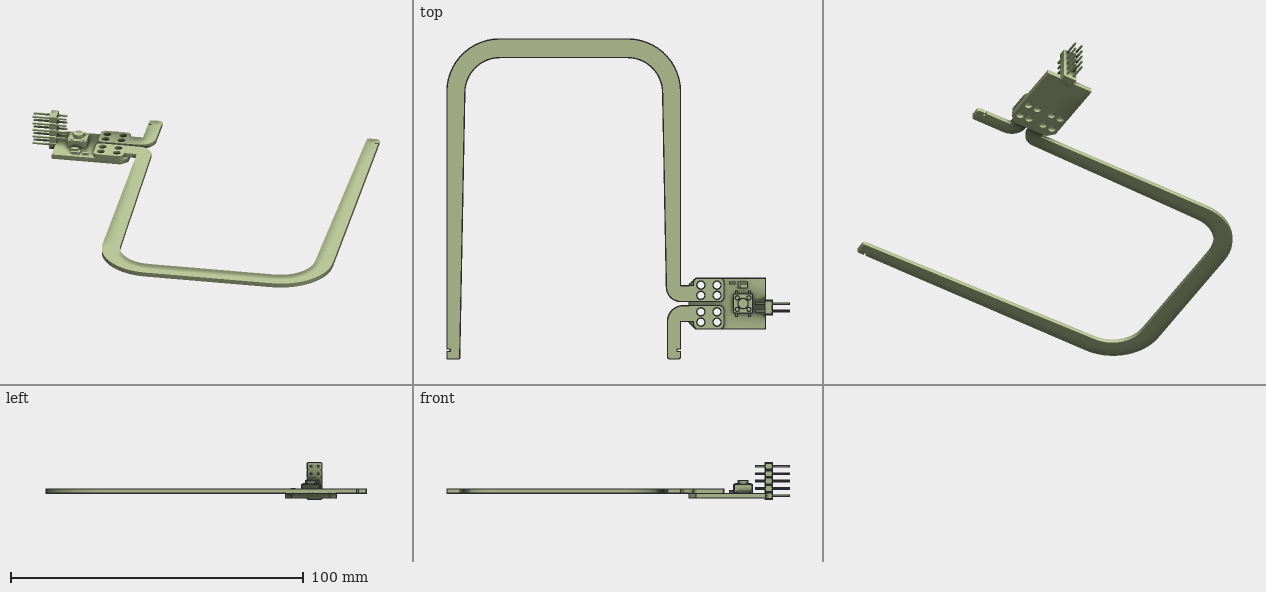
import cadquery as cq

total_length = 117.2
loop_height = 109.5
loop_width = 80.0
strip_thickness = 1.5
board_thickness = 1.6

header_height = 12.7
header_rows = 5
header_columns = 2
pin_pitch = header_height / header_rows
pin_width = 0.6
pin_length = 11.7
header_left = 108.8
header_y = 17.7
groove_size = 0.29

board_bottom = pin_pitch / 2 - board_thickness / 2
board_top = board_bottom + board_thickness

board_left = 82.8
board_right = 109.0
board_width = 17.5
board_y = 19.0
board_bevel = 2.3

pad_left = 84.4
pad_right = 94.7
pad_corner = 1.5
strip_gap = 1.3
arm_width = 5.5
hole_diameter = 2.7
hole_columns = (86.9, 92.4)
hole_offsets = (2.8, 6.3)

outer_radius = 18.0
top_bar_width = 6.5
inner_radius = 12.0
left_leg_top_width = 6.2
left_leg_end_width = 4.5
right_leg_top_width = 6.2
right_leg_end_width = 4.9
frame_elbow_radius = 5.0
leg_end_radius = 0.6

hook_width = 4.6
hook_elbow_radius = 5.5
hook_end_radius = 0.9

notch_width = 0.8
notch_depth = 1.2
notch_y = 3.0

switch_x = 101.3
switch_size = 6.5
switch_body_height = 3.0
switch_corner_bevel = 0.2
button_diameter = 3.5
button_height = 1.4
rivet_diameter = 1.4
rivet_height = 0.4
rivet_offset = 2.0
lead_offset = 2.2
lead_width = 0.65
lead_thickness = 0.2
lead_reach = 1.2

lamp_x = 101.2
lamp_y = 25.3
lamp_length = 3.2
lamp_width = 2.0
lamp_base_height = 0.9
lens_length = 2.6
lens_width = 1.3
lens_height = 0.8
resistor_x = 97.5
resistor_y = 26.0
resistor_length = 1.9
resistor_width = 0.8
resistor_height = 0.9


def box_on(z, x, y, length, width, height):
    """Box centred on (x, y) standing on height z."""
    return cq.Workplane("XY", origin=(x, y, z)).box(length, width, height, centered=(True, True, False))


def hole_cutter():
    """The eight bolt holes that run through both pads and the board."""
    points = [
        (x, board_y + side * offset)
        for x in hole_columns
        for side in (-1, 1)
        for offset in hole_offsets
    ]
    return cq.Workplane("XY").pushPoints(points).circle(hole_diameter / 2).extrude(header_height)


def notch_cutter(x):
    """Notch cut into the leg side that lies at x."""
    return box_on(board_top, x, notch_y, 2 * notch_depth, notch_width, strip_thickness)


def strip_pad(side):
    """Rounded mounting pad on the +Y (side 1) or -Y (side -1) half of the board."""
    width = (board_width - strip_gap) / 2
    middle_y = board_y + side * (strip_gap + width) / 2
    pad = box_on(board_top, (pad_left + pad_right) / 2, middle_y, pad_right - pad_left, width, strip_thickness)
    return pad.edges("|Z").fillet(pad_corner)


def arm_edges(side):
    """Y of an arm's inner and outer edge."""
    inner = board_y + side * strip_gap / 2
    return inner, inner + side * arm_width


def build_frame():
    """Rounded loop with tapering legs, whose right leg turns out into an arm and a pad."""
    arm_bottom, arm_top = arm_edges(1)
    arm_end = pad_left + 2 * pad_corner
    bar_underside = loop_height - top_bar_width
    bend_y = bar_underside - inner_radius
    right_inner_end = loop_width - right_leg_end_width
    right_inner_top = loop_width - right_leg_top_width
    outline = (
        cq.Workplane("XY", origin=(0, 0, board_top))
        .moveTo(0, 0)
        .lineTo(0, loop_height - outer_radius)
        .radiusArc((outer_radius, loop_height), outer_radius)
        .lineTo(loop_width - outer_radius, loop_height)
        .radiusArc((loop_width, loop_height - outer_radius), outer_radius)
        .lineTo(loop_width, arm_top)
        .lineTo(arm_end, arm_top)
        .lineTo(arm_end, arm_bottom)
        .lineTo(right_inner_end + frame_elbow_radius, arm_bottom)
        .radiusArc((right_inner_end, arm_bottom + frame_elbow_radius), frame_elbow_radius)
        .lineTo(right_inner_top, bend_y)
        .radiusArc((right_inner_top - inner_radius, bar_underside), -inner_radius)
        .lineTo(left_leg_top_width + inner_radius, bar_underside)
        .radiusArc((left_leg_top_width, bend_y), -inner_radius)
        .lineTo(left_leg_end_width, 0)
        .close()
    )
    loop = outline.extrude(strip_thickness).edges("|Z and <Y").fillet(leg_end_radius)
    return loop.union(strip_pad(1)).cut(notch_cutter(0)).cut(hole_cutter())


def build_hook():
    """Short leg that turns out into an arm and a pad, opposite the frame's arm."""
    arm_top, arm_bottom = arm_edges(-1)
    arm_end = pad_left + 2 * pad_corner
    left = loop_width - hook_width
    outline = (
        cq.Workplane("XY", origin=(0, 0, board_top))
        .moveTo(left, 0)
        .lineTo(left, arm_top - hook_elbow_radius)
        .radiusArc((left + hook_elbow_radius, arm_top), hook_elbow_radius)
        .lineTo(arm_end, arm_top)
        .lineTo(arm_end, arm_bottom)
        .lineTo(loop_width, arm_bottom)
        .lineTo(loop_width, 0)
        .close()
    )
    leg = outline.extrude(strip_thickness).edges("|Z and <Y").fillet(hook_end_radius)
    return leg.union(strip_pad(-1)).cut(notch_cutter(loop_width)).cut(hole_cutter())


def build_header():
    """Bevelled segments stacked in Z, with every pin passing through along X."""
    depth = header_columns * pin_pitch
    header = None
    for row in range(header_rows):
        bottom = row * pin_pitch
        segment = box_on(bottom, header_left + pin_pitch / 2, header_y, pin_pitch, depth, pin_pitch)
        segment = segment.edges("|X").chamfer(groove_size)
        header = segment if header is None else header.union(segment)
    for row in range(header_rows):
        for side in (-1, 1):
            pin = box_on(
                (row + 0.5) * pin_pitch - pin_width / 2,
                total_length - pin_length / 2,
                header_y + side * pin_pitch / 2,
                pin_length,
                pin_width,
                pin_width,
            )
            header = header.union(pin)
    return header


def build_board(header):
    """Board with bevelled left corners, a resistor block and an edge pocket for the header."""
    length = board_right - board_left
    board = box_on(board_bottom, board_left + length / 2, board_y, length, board_width, board_thickness)
    board = board.edges("|Z and <X").chamfer(board_bevel)
    resistor = box_on(board_top, resistor_x, resistor_y, resistor_length, resistor_width, resistor_height)
    return board.union(resistor).cut(hole_cutter()).cut(header)


def build_switch():
    """Square body with a round button, four rivets on top and four flat leads at the foot."""
    body_top = board_top + switch_body_height
    switch = box_on(board_top, switch_x, board_y, switch_size, switch_size, switch_body_height)
    switch = switch.edges("|Z").chamfer(switch_corner_bevel)
    button = cq.Workplane("XY", origin=(switch_x, board_y, body_top)).circle(button_diameter / 2)
    switch = switch.union(button.extrude(button_height))
    for side_x in (-1, 1):
        for side_y in (-1, 1):
            x = switch_x + side_x * rivet_offset
            y = board_y + side_y * rivet_offset
            rivet = cq.Workplane("XY", origin=(x, y, body_top)).circle(rivet_diameter / 2)
            switch = switch.union(rivet.extrude(rivet_height))
    lead_span = switch_size + 2 * lead_reach
    for side in (-1, 1):
        x = switch_x + side * lead_offset
        switch = switch.union(box_on(board_top, x, board_y, lead_width, lead_span, lead_thickness))
    return switch


def build_lamp():
    """Base with a raised lens flush with its +X and -Y sides."""
    base = box_on(board_top, lamp_x, lamp_y, lamp_length, lamp_width, lamp_base_height)
    lens_x = lamp_x + (lamp_length - lens_length) / 2
    lens_y = lamp_y - (lamp_width - lens_width) / 2
    lens = box_on(board_top + lamp_base_height, lens_x, lens_y, lens_length, lens_width, lens_height)
    return base.union(lens)


frame = build_frame()
hook = build_hook()
header = build_header()
board = build_board(header)
switch = build_switch()
lamp = build_lamp()

result = cq.Compound.makeCompound(
    [frame.val(), hook.val(), board.val(), header.val(), switch.val(), lamp.val()]
)